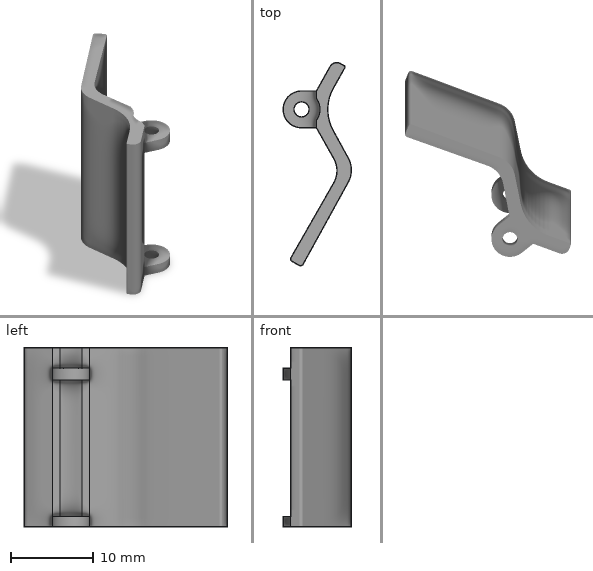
import cadquery as cq


ear_radius = 2.25
hole_diameter = 1.8
ear_flat_x = 1.8
lower_ear_thickness = 1.25
upper_ear_thickness = 1.45
upper_ear_bottom = 17.8

leaf_height = 21.75
inner_bend = (4.73, -7.45)
outer_bend = (6.48, -7.37)
outer_fold = (2.45, 0.02)
top_inner_corner = (3.92, 6.05)
top_outer_corner = (5.35, 5.2)
bottom_inner_corner = (-1.45, -18.27)
bottom_outer_corner = (0.02, -19.1)

bend_radius = 3.0
fold_radius = 5.3
top_inner_radius = 0.94
top_outer_radius = 0.2
bottom_inner_radius = 0.32
bottom_outer_radius = 0.37


def round_upright_edge(body, corner, radius):
    """Round the vertical edge of the leaf that stands at the given corner."""
    edge = cq.selectors.NearestToPointSelector((*corner, leaf_height / 2))
    return body.edges("|Z").edges(edge).fillet(radius)


def make_leaf():
    """Bent plate with a clearance groove around the hinge axis."""
    leaf = (
        cq.Workplane("XY")
        .polyline([
            top_inner_corner,
            (ear_flat_x, ear_radius),
            (ear_flat_x, -ear_radius),
            inner_bend,
            bottom_inner_corner,
            bottom_outer_corner,
            outer_bend,
            outer_fold,
            top_outer_corner,
        ])
        .close()
        .extrude(leaf_height)
    )
    rounded_corners = [
        (inner_bend, bend_radius),
        (outer_bend, bend_radius),
        (outer_fold, fold_radius),
        (top_inner_corner, top_inner_radius),
        (top_outer_corner, top_outer_radius),
        (bottom_inner_corner, bottom_inner_radius),
        (bottom_outer_corner, bottom_outer_radius),
    ]
    for corner, radius in rounded_corners:
        leaf = round_upright_edge(leaf, corner, radius)
    groove = cq.Workplane("XY").circle(ear_radius).extrude(leaf_height)
    return leaf.cut(groove)


def make_ear(bottom, thickness):
    """Flat hinge ear with a pin hole; its back fills the groove of the leaf."""
    plane = cq.Workplane("XY").workplane(offset=bottom)
    disc = plane.circle(ear_radius).extrude(thickness)
    shank = plane.center(ear_flat_x / 2, 0).rect(ear_flat_x, 2 * ear_radius).extrude(thickness)
    hole = plane.circle(hole_diameter / 2).extrude(thickness)
    return disc.union(shank).cut(hole)


hinge_leaf = make_leaf().union(make_ear(0, lower_ear_thickness))
upper_ear = make_ear(upper_ear_bottom, upper_ear_thickness)

result = cq.Compound.makeCompound([hinge_leaf.val(), upper_ear.val()])